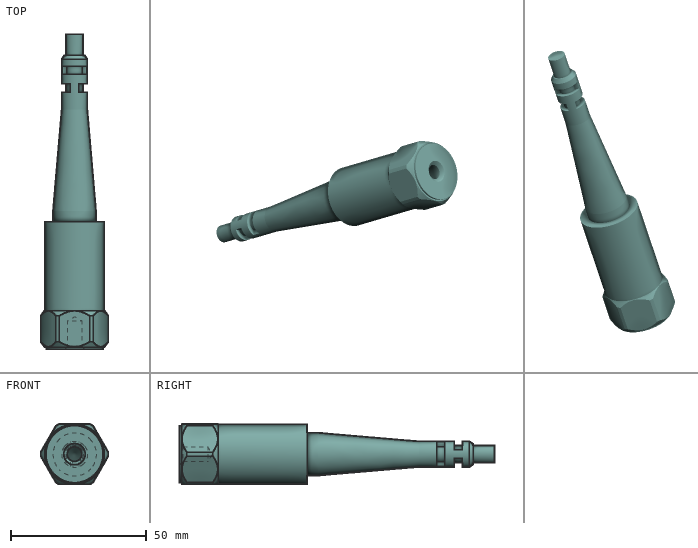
import cadquery as cq
import math

total_length = 116.0
nut_length = 14.3
body_end = 47.0
taper_start = 50.9
taper_end = 88.1
collar_cone_start = 106.7
collar_end = 108.1

body_diameter = 22.0
taper_large_diameter = 15.9
collar_diameter = 9.5
collar_tip_diameter = 7.5
stem_diameter = 6.4

across_flats = 22.3
across_corners = 24.9
face_diameter = 21.0
face_land = 0.8
chamfer_start_diameter = 22.0
chamfer_length = 2.0

slot_width = 3.0
slot_spacing = 6.5
rear_slot_center = 102.6
rib_width = 3.1

bore_diameter = 5.3
bore_mouth_diameter = 7.9
bore_depth = 10.4
drill_point_angle = 118.0


def revolve_profile(points):
    """Revolve (radius, y) points around the Y axis."""
    return cq.Workplane("XY").polyline(points).close().revolve(360, (0, 0, 0), (0, 1, 0))


def cylinder(diameter, start, length):
    """Make a cylinder on the Y axis that runs from start towards +Y."""
    return cq.Workplane("XZ", origin=(0, start, 0)).circle(diameter / 2).extrude(-length)


def make_turned_body():
    return revolve_profile([
        (0, 0),
        (face_diameter / 2, 0),
        (face_diameter / 2, nut_length),
        (body_diameter / 2, nut_length),
        (body_diameter / 2, body_end),
        (taper_large_diameter / 2, body_end),
        (taper_large_diameter / 2, taper_start),
        (collar_diameter / 2, taper_end),
        (collar_diameter / 2, collar_cone_start),
        (collar_tip_diameter / 2, collar_end),
        (stem_diameter / 2, collar_end),
        (stem_diameter / 2, total_length),
        (0, total_length),
    ])


def make_nut():
    """Make the hexagon with its corners rounded off and both ends chamfered."""
    hex_diameter = across_flats / math.cos(math.pi / 6)
    prism = (
        cq.Workplane("XZ", origin=(0, face_land, 0))
        .polygon(6, hex_diameter)
        .extrude(face_land - nut_length)
    )
    envelope = revolve_profile([
        (0, face_land),
        (chamfer_start_diameter / 2, face_land),
        (across_corners / 2, face_land + chamfer_length),
        (across_corners / 2, nut_length - chamfer_length),
        (body_diameter / 2, nut_length),
        (0, nut_length),
    ])
    return prism.intersect(envelope)


def make_slot(center, rib_size):
    """Make a ring groove interrupted by two opposite ribs; rib_size is (x, z)."""
    start = center - slot_width / 2
    ring = cylinder(body_diameter, start, slot_width).cut(
        cylinder(stem_diameter, start, slot_width)
    )
    rib = cq.Workplane("XY", origin=(0, center, 0)).box(rib_size[0], slot_width, rib_size[1])
    return ring.cut(rib)


def make_bore():
    radius = bore_diameter / 2
    mouth_radius = bore_mouth_diameter / 2
    point_length = radius / math.tan(math.radians(drill_point_angle / 2))
    return revolve_profile([
        (0, 0),
        (mouth_radius, 0),
        (radius, mouth_radius - radius),
        (radius, bore_depth),
        (0, bore_depth + point_length),
    ])


rib_span = 2 * collar_diameter
result = make_turned_body().union(make_nut())
result = result.cut(make_slot(rear_slot_center, (rib_span, rib_width)))
result = result.cut(make_slot(rear_slot_center - slot_spacing, (rib_width, rib_span)))
result = result.cut(make_bore())